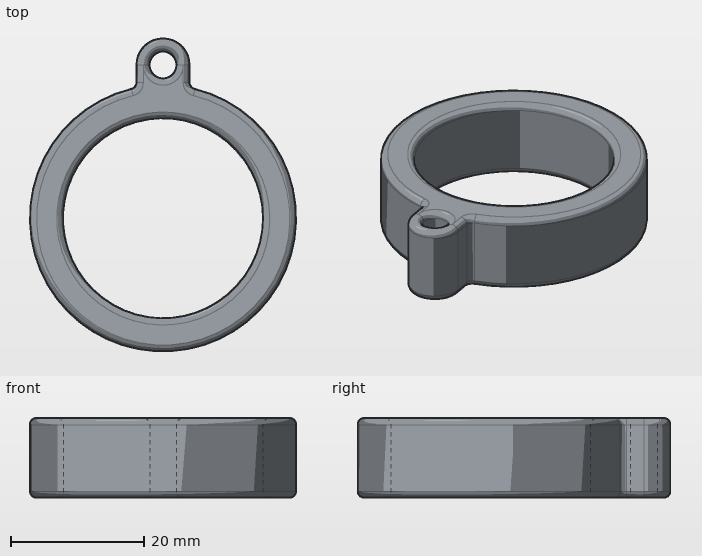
import cadquery as cq
import math

ring_outer_diameter = 40.0
ring_bore_diameter = 30.0
height = 12.0
overall_length = 47.0
lug_hole_diameter = 4.0
lug_outer_diameter = 2 * lug_hole_diameter

ring_radius = ring_outer_diameter / 2
lug_radius = lug_outer_diameter / 2
lug_hole_radius = lug_hole_diameter / 2
lug_center_y = overall_length - ring_radius - lug_radius

edge_radius = (lug_radius - lug_hole_radius) / 2
neck_radius = edge_radius


def make_blank():
    """Ring disc and the straight part of the lug, with concave neck corners."""
    neck_center_x = lug_radius + neck_radius
    neck_reach = ring_radius + neck_radius
    neck_center_y = math.sqrt(neck_reach**2 - neck_center_x**2)

    touch_x = neck_center_x * ring_radius / neck_reach
    touch_y = neck_center_y * ring_radius / neck_reach

    return (
        cq.Workplane("XY")
        .moveTo(lug_radius, lug_center_y)
        .lineTo(lug_radius, neck_center_y)
        .radiusArc((touch_x, touch_y), -neck_radius)
        .threePointArc((0, -ring_radius), (-touch_x, touch_y))
        .radiusArc((-lug_radius, neck_center_y), -neck_radius)
        .lineTo(-lug_radius, lug_center_y)
        .close()
        .extrude(height)
    )


def make_flared_hole(radius, center_y):
    """Through-hole cutter whose two mouths open out with the edge rounding."""
    mouth_radius = radius + edge_radius
    return (
        cq.Workplane("XZ", origin=(0, center_y, 0))
        .moveTo(0, 0)
        .lineTo(mouth_radius, 0)
        .radiusArc((radius, edge_radius), edge_radius)
        .lineTo(radius, height - edge_radius)
        .radiusArc((mouth_radius, height), edge_radius)
        .lineTo(0, height)
        .close()
        .revolve(360, (0, 0, 0), (0, 1, 0))
    )


def make_lug_eye():
    """Outer half of the lug: its wall, fully rounded top and bottom, turned through half a circle."""
    crest_radius = lug_radius - edge_radius
    return (
        cq.Workplane("XZ", origin=(0, lug_center_y, 0))
        .moveTo(lug_hole_radius, edge_radius)
        .radiusArc((crest_radius, 0), -edge_radius)
        .radiusArc((lug_radius, edge_radius), -edge_radius)
        .lineTo(lug_radius, height - edge_radius)
        .radiusArc((crest_radius, height), -edge_radius)
        .radiusArc((lug_hole_radius, height - edge_radius), -edge_radius)
        .close()
        .revolve(180, (0, 0, 0), (0, 1, 0))
    )


def make_ring():
    """Ring with hanging lug, rounded on every top and bottom edge."""
    rounded_blank = make_blank().edges("(<Z or >Z) and (not >Y)").fillet(edge_radius)
    bore = make_flared_hole(ring_bore_diameter / 2, 0)
    lug_hole = make_flared_hole(lug_hole_radius, lug_center_y)
    return rounded_blank.cut(bore).cut(lug_hole).union(make_lug_eye(), clean=False)


ring = make_ring()

result = cq.Compound.makeCompound([ring.solids().val()])